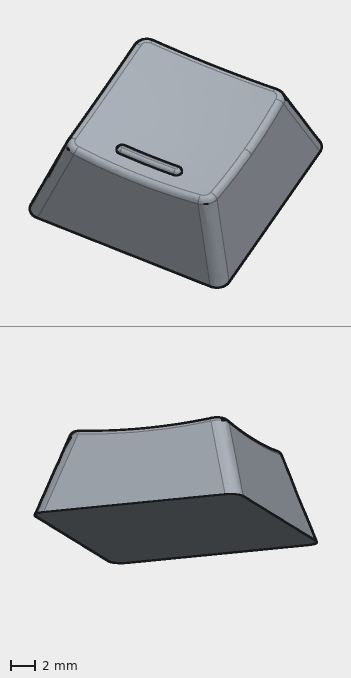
import cadquery as cq
import math

base_size = 18.3
blank_height = 8.24
side_wall_angle = 18.1
end_wall_angle = 17.3
corner_radius = 1.2
rim_radius = 0.6

dish_radius = 47.58
dish_bottom = 6.55

bar_length = 5.97
bar_width = 0.97
bar_center_y = -4.67
bar_height = 0.37
bar_edge_radius = 0.38
bar_embed = 0.92


def dish_ball(rise):
    """Ball concentric with the dish, its lowest point `rise` above the dish bottom."""
    center_z = dish_bottom + dish_radius
    return cq.Workplane("XY").sphere(dish_radius - rise).translate((0, 0, center_z))


def make_body():
    blank_top_x = base_size - 2 * blank_height * math.tan(math.radians(side_wall_angle))
    blank_top_y = base_size - 2 * blank_height * math.tan(math.radians(end_wall_angle))
    blank = (
        cq.Workplane("XY")
        .rect(base_size, base_size)
        .workplane(offset=blank_height)
        .rect(blank_top_x, blank_top_y)
        .loft(ruled=True)
    )
    rounded = blank.edges("not(#Z)").fillet(corner_radius)
    dished = rounded.cut(dish_ball(0))
    return dished.faces("%SPHERE").edges().fillet(rim_radius)


def make_homing_bar():
    bar_root = dish_bottom - bar_embed
    bar = (
        cq.Workplane("XY", origin=(0, bar_center_y, bar_root))
        .slot2D(bar_length, bar_width)
        .extrude(blank_height - bar_root)
        .cut(dish_ball(bar_height))
    )
    return bar.faces("%SPHERE").edges().fillet(bar_edge_radius)


result = make_body().union(make_homing_bar())